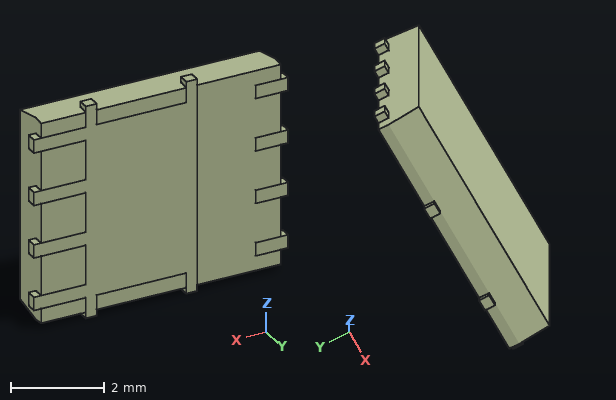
import cadquery as cq

overall_length = 6.15
overall_depth = 0.99
overall_height = 5.15

housing_length = 5.8
parting_height = 4.9
front_height = 4.595
back_height = 4.85

frame_thickness = 0.25
lead_width = 0.32
lead_pitch = 1.27
leads_per_side = 4
source_lead_length = 0.79
tie_bar_width = 0.265
tie_bar_spacing = 2.43
pad_center_x = 0.475

back_y = overall_depth / 2
front_y = -overall_depth / 2
parting_y = back_y - frame_thickness
lead_tip_x = overall_length / 2
pad_length = tie_bar_spacing + tie_bar_width
pad_height = (leads_per_side - 1) * lead_pitch + lead_width
lead_heights = [(i - (leads_per_side - 1) / 2) * lead_pitch for i in range(leads_per_side)]


def frame_plate(x_min, x_max, height, z_center=0.0):
    """Flat rectangle of lead frame metal lying against the mounting face."""
    return (
        cq.Workplane("XY")
        .box(x_max - x_min, frame_thickness, height)
        .translate(((x_min + x_max) / 2, back_y - frame_thickness / 2, z_center))
    )


def make_source_lead(z_center):
    """Separate lead on the -X side, ending inside the housing."""
    return frame_plate(-lead_tip_x, -lead_tip_x + source_lead_length, lead_width, z_center)


def make_drain_pad():
    """Pad in one piece with the +X leads and the tie bars above and below it."""
    pad_left = pad_center_x - pad_length / 2
    pad_right = pad_center_x + pad_length / 2
    pad = frame_plate(pad_left, pad_right, pad_height)
    for z_center in lead_heights:
        pad = pad.union(frame_plate(pad_center_x, lead_tip_x, lead_width, z_center))
    for side in (-1, 1):
        bar_x = pad_center_x + side * tie_bar_spacing / 2
        tie_bar = frame_plate(bar_x - tie_bar_width / 2, bar_x + tie_bar_width / 2, overall_height)
        pad = pad.union(tie_bar)
    return pad


def make_housing(frame_parts):
    """Moulded block, tapering both ways from the parting line, with recesses for the frame."""
    profile = [
        (front_y, -front_height / 2),
        (parting_y, -parting_height / 2),
        (back_y, -back_height / 2),
        (back_y, back_height / 2),
        (parting_y, parting_height / 2),
        (front_y, front_height / 2),
    ]
    block = cq.Workplane("YZ").polyline(profile).close().extrude(housing_length / 2, both=True)
    for frame_part in frame_parts:
        block = block.cut(frame_part)
    return block


source_leads = [make_source_lead(z_center) for z_center in lead_heights]
drain_pad = make_drain_pad()
housing = make_housing([*source_leads, drain_pad])

result = cq.Compound.makeCompound(
    [housing.val(), drain_pad.val(), *[lead.val() for lead in source_leads]]
)